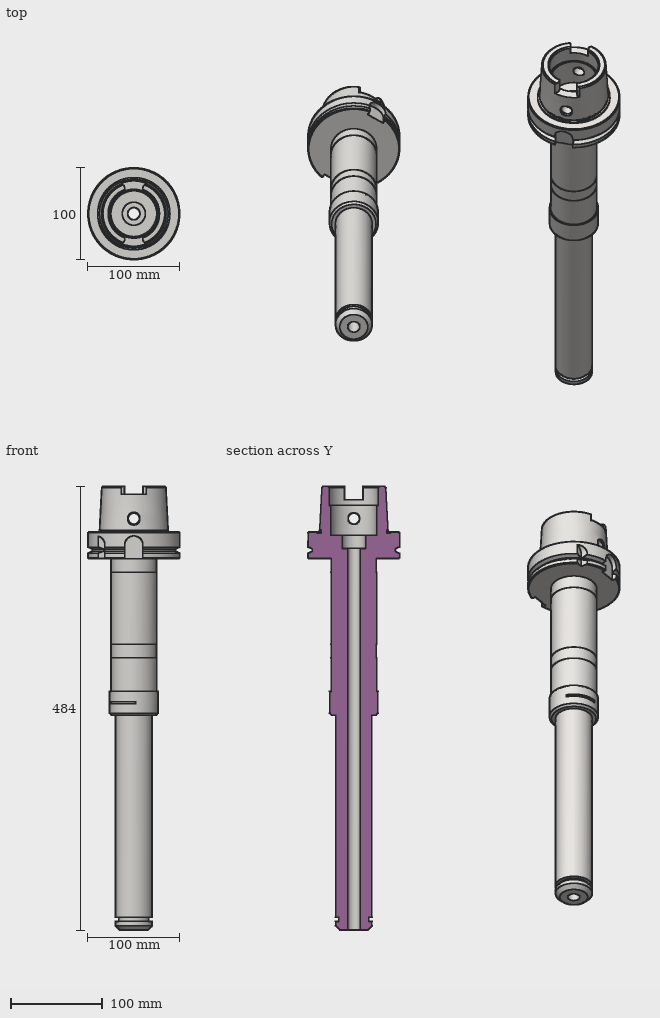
import cadquery as cq
import math

total_height = 484.0
shank_length = 50.0
flange_thickness = 29.0
flange_top = total_height - shank_length
flange_bottom = flange_top - flange_thickness

shank_base_diameter = 75.0
shank_tip_diameter = 70.0
shank_tip_chamfer = 1.5

relief_diameter = 79.0
relief_undercut = 1.5
relief_height = 2.0
relief_sink = 1.0

slot_width = 20.0
slot_edge_round = 4.0
front_slot_depth = 8.5
back_slot_depth = 14.5

mouth_diameter = 53.0
mouth_depth = 21.0
mouth_chamfer = 1.5
bore_diameter = 50.0
bore_depth = 53.0
coolant_counterbore_diameter = 25.0
coolant_counterbore_depth = 14.5
coolant_hole_diameter = 13.0
cross_hole_diameter = 12.0
cross_hole_mouth_diameter = 14.0
cross_hole_drop = 35.5
countersink_depth = 2.0

flange_diameter = 100.0
flange_chamfer = 1.0
groove_drop = 20.0
groove_mouth_width = 7.0
groove_floor_width = 2.5
groove_floor_diameter = 91.0

keyway_width = 20.0
keyway_top_drop = 4.5
keyway_floor = 44.0
notch_wall = 31.5

body_diameter = 50.5
band_diameter = 50.0
body_neck_bottom = 390.0
band_top = 311.5
band_bottom = 297.0

collar_diameter = 53.0
collar_top = 260.5
collar_bottom = 234.3
collar_chamfer = 2.5
collar_mark_height = 248.0
collar_mark_width = 2.0
collar_mark_depth = 1.0
collar_mark_start_angle = 196
collar_mark_sweep = 78
bar_diameter = 40.0
ring_groove_diameter = 33.0
ring_groove_top = 14.0
ring_groove_bottom = 9.5
tip_diameter = 30.5
tip_chamfer = (bar_diameter - tip_diameter) / 2


def disc(diameter, bottom, top):
    """Cylinder on the tool axis between two heights."""
    return cq.Workplane("XY").workplane(offset=bottom).circle(diameter / 2).extrude(top - bottom)


def revolved(points):
    """Solid of revolution from (radius, height) points."""
    return cq.Workplane("XZ").polyline(points).close().revolve(360, (0, 0, 0), (0, 1, 0))


def make_bar():
    bar = disc(bar_diameter, 0, collar_bottom).faces("<Z").chamfer(tip_chamfer)
    blank = disc(bar_diameter, ring_groove_bottom, ring_groove_top)
    return bar.cut(blank.cut(disc(ring_groove_diameter, ring_groove_bottom, ring_groove_top)))


def make_body():
    collar = disc(collar_diameter, collar_bottom, collar_top).faces("<Z").chamfer(collar_chamfer)
    body = disc(body_diameter, collar_top, band_bottom)
    band = disc(band_diameter, band_bottom, band_top)
    upper = disc(body_diameter, band_top, body_neck_bottom)
    neck = disc(band_diameter, body_neck_bottom, flange_bottom)
    return collar.union(body).union(band).union(upper).union(neck)


def make_flange():
    flange = disc(flange_diameter, flange_bottom, flange_top).edges().chamfer(flange_chamfer)
    flange = flange.cut(disc(relief_diameter, flange_top - relief_sink, flange_top))
    rim = flange_diameter / 2
    floor = groove_floor_diameter / 2
    middle = flange_top - groove_drop
    groove = revolved([
        (rim, middle + groove_mouth_width / 2),
        (floor, middle + groove_floor_width / 2),
        (floor, middle - groove_floor_width / 2),
        (rim, middle - groove_mouth_width / 2),
    ])
    return flange.cut(groove)


def keyway_cutter(centre_x, floor_y, side):
    """Slot with a round top, open downward and outward from floor_y toward side * Y."""
    radius = keyway_width / 2
    round_centre = flange_top - keyway_top_drop - radius
    reach = flange_diameter / 2
    return (
        cq.Workplane("XZ", origin=(centre_x, side * floor_y, 0))
        .moveTo(-radius, flange_bottom)
        .lineTo(-radius, round_centre)
        .threePointArc((0, round_centre + radius), (radius, round_centre))
        .lineTo(radius, flange_bottom)
        .close()
        .extrude(-side * reach)
    )


def make_shank():
    base = shank_base_diameter / 2
    tip = shank_tip_diameter / 2
    relief_neck = base - relief_undercut
    return revolved([
        (0, flange_bottom),
        (relief_neck, flange_bottom),
        (relief_neck, flange_top + relief_height),
        (base, flange_top + relief_height),
        (tip, total_height - shank_tip_chamfer),
        (tip - shank_tip_chamfer, total_height),
        (0, total_height),
    ])


def make_bore():
    mouth = mouth_diameter / 2
    bore = bore_diameter / 2
    mouth_bottom = total_height - mouth_depth
    floor = total_height - bore_depth
    cavity = revolved([
        (0, floor),
        (bore, floor),
        (bore, mouth_bottom),
        (mouth, mouth_bottom),
        (mouth, total_height - mouth_chamfer),
        (mouth + mouth_chamfer, total_height),
        (0, total_height),
    ])
    counterbore = disc(coolant_counterbore_diameter, floor - coolant_counterbore_depth, floor)
    return cavity.union(counterbore).union(disc(coolant_hole_diameter, 0, floor))


def drive_slot_cutter(depth, side):
    """Slot through one shank wall, flaring outward with rounded outer edges."""
    half = slot_width / 2
    outer = shank_base_diameter / 2
    round_x = half + slot_edge_round
    round_y = math.sqrt((shank_tip_diameter / 2 - slot_edge_round) ** 2 - round_x**2)
    diagonal = slot_edge_round * math.sqrt(0.5)
    profile = (
        cq.Workplane("XY", origin=(0, 0, total_height - depth))
        .moveTo(-half, 0)
        .lineTo(-half, side * round_y)
        .threePointArc(
            (-round_x + diagonal, side * (round_y + diagonal)),
            (-round_x, side * (round_y + slot_edge_round)),
        )
        .lineTo(-round_x, side * outer)
        .lineTo(round_x, side * outer)
        .lineTo(round_x, side * (round_y + slot_edge_round))
        .threePointArc((round_x - diagonal, side * (round_y + diagonal)), (half, side * round_y))
        .lineTo(half, 0)
        .close()
    )
    return profile.extrude(depth)


def make_cross_hole():
    """Hole along Y through both shank walls, countersunk at each outer surface."""
    height = total_height - cross_hole_drop
    taper = (shank_base_diameter - shank_tip_diameter) / 2 / shank_length
    surface = shank_tip_diameter / 2 + taper * cross_hole_drop
    hole = cross_hole_diameter / 2
    mouth = cross_hole_mouth_diameter / 2
    half_profile = [
        (0, 0),
        (hole, 0),
        (hole, surface - countersink_depth),
        (mouth, surface),
        (mouth, flange_diameter / 2),
        (0, flange_diameter / 2),
    ]
    half = cq.Workplane("XY").polyline(half_profile).close().revolve(360, (0, 0, 0), (0, 1, 0))
    return half.union(half.mirror("XZ")).translate((0, 0, height))


def make_collar_mark():
    """Shallow engraved line running part of the way round the collar."""
    outer = collar_diameter / 2
    return (
        cq.Workplane("XZ")
        .center(outer, collar_mark_height)
        .rect(2 * collar_mark_depth, collar_mark_width)
        .revolve(collar_mark_sweep, (-outer, 0, 0), (-outer, -1, 0))
        .rotate((0, 0, 0), (0, 0, 1), collar_mark_start_angle + collar_mark_sweep)
    )


flange = make_flange()
flange = flange.cut(keyway_cutter(0, keyway_floor, -1)).cut(keyway_cutter(0, keyway_floor, 1))
flange = flange.cut(keyway_cutter(-notch_wall - keyway_width / 2, notch_wall, -1))

shank = make_shank()
shank = shank.cut(drive_slot_cutter(front_slot_depth, -1)).cut(drive_slot_cutter(back_slot_depth, 1))

result = make_bar().union(make_body()).union(flange).union(shank)
result = result.cut(make_bore()).cut(make_cross_hole()).cut(make_collar_mark())